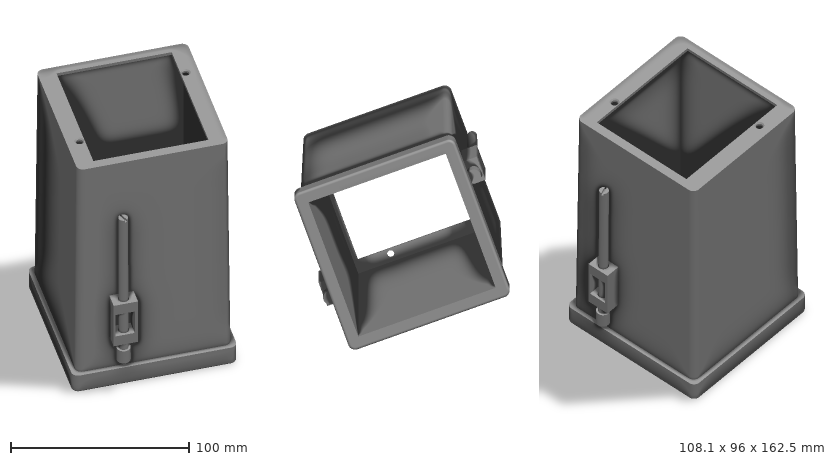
import cadquery as cq
import math

total_height = 162.5
bezel_width = 96.0
bezel_height = 12.5
bezel_corner_radius = 4.0
bezel_front_radius = 1.5
tube_top_width = 88.0
tube_draft = 0.5
tube_corner_radius = 4.0
tube_height = total_height - bezel_height
lean_slope = math.tan(math.radians(tube_draft))
tube_base_width = tube_top_width + 2 * tube_height * lean_slope

lip_thickness = 2.0
top_wall = 3.0
cavity_width = tube_top_width - 2 * top_wall
opening_width = 77.0
opening_depth = 67.0

lip_hole_diameter = 4.0
lip_hole_chamfer = 0.75
lip_hole_x = 20.0
lip_hole_y = 36.5
countersink_diameter = lip_hole_diameter + 2 * lip_hole_chamfer
countersink_angle = 90

screw_y = 19.0
screw_offset = 4.5
screw_diameter = 5.5
screw_bottom = 17.0
screw_top = 113.0
screw_length = screw_top - screw_bottom
slot_width = 1.2
slot_depth = 1.5
slot_angle = 20.0
foot_diameter = 8.0
foot_height = 9.0

block_reach = 54.06
block_y = 18.9
block_width = 14.2
block_bottom = bezel_height + 22.75
block_height = 30.25
block_top = block_bottom + block_height
block_bore_diameter = 6.2
window_y = 19.3
window_width = 11.2
window_height = 16.0


def wall_x(z):
    """Distance of the tube wall from the housing axis at height z."""
    return tube_base_width / 2 - (z - bezel_height) * lean_slope


def lean_on_wall(body):
    """Move a body built at the origin to the foot of the -X wall and lean it with the wall."""
    leaning = body.rotate((0, 0, 0), (0, 1, 0), tube_draft)
    return leaning.translate((-tube_base_width / 2, screw_y, bezel_height))


def make_housing():
    bezel = (
        cq.Workplane("XY")
        .rect(bezel_width, bezel_width)
        .extrude(bezel_height)
        .edges("|Z")
        .fillet(bezel_corner_radius)
        .faces("<Z")
        .edges()
        .fillet(bezel_front_radius)
    )
    tube = (
        cq.Workplane("XY")
        .workplane(offset=bezel_height)
        .rect(tube_base_width, tube_base_width)
        .extrude(tube_height, taper=tube_draft)
        .edges("not #Z")
        .fillet(tube_corner_radius)
    )
    cavity = (
        cq.Workplane("XY")
        .rect(cavity_width, cavity_width)
        .extrude(total_height - lip_thickness)
    )
    opening = cq.Workplane("XY").rect(opening_width, opening_depth).extrude(total_height)
    housing = bezel.union(tube).cut(cavity).cut(opening)
    return (
        housing.faces(">Z")
        .workplane(origin=(0, 0, total_height))
        .pushPoints([(-lip_hole_x, lip_hole_y), (lip_hole_x, -lip_hole_y)])
        .cskHole(lip_hole_diameter, countersink_diameter, countersink_angle, lip_thickness)
    )


def make_screw():
    """Plain rod with a screwdriver slot in its top end."""
    rod = cq.Workplane("XY").circle(screw_diameter / 2).extrude(screw_length)
    slot = (
        cq.Workplane("XY")
        .workplane(offset=screw_length - slot_depth)
        .rect(2 * screw_diameter, slot_width)
        .extrude(slot_depth)
    )
    screw = rod.cut(slot).rotate((0, 0, 0), (0, 0, 1), slot_angle)
    return lean_on_wall(screw.translate((-screw_offset, 0, screw_bottom)))


def make_foot():
    """Round foot under the screw."""
    foot = (
        cq.Workplane("XY")
        .workplane(offset=screw_bottom - foot_height)
        .center(-screw_offset, 0)
        .circle(foot_diameter / 2)
        .extrude(foot_height)
    )
    return lean_on_wall(foot)


def make_block():
    """Block on the wall with a window through to the wall and a clearance bore for the screw."""
    block = (
        cq.Workplane("XZ", origin=(0, block_y, 0))
        .moveTo(-block_reach, block_bottom)
        .lineTo(-wall_x(block_bottom), block_bottom)
        .lineTo(-wall_x(block_top), block_top)
        .lineTo(-block_reach, block_top)
        .close()
        .extrude(block_width / 2, both=True)
    )
    window = (
        cq.Workplane("XY")
        .box(block_reach, window_width, window_height)
        .translate((-block_reach, window_y, (block_bottom + block_top) / 2))
    )
    bore = (
        cq.Workplane("XY")
        .center(-screw_offset, 0)
        .circle(block_bore_diameter / 2)
        .extrude(tube_height)
    )
    return block.cut(window).cut(lean_on_wall(bore))


housing = make_housing()

clamp_bodies = []
for turn in (0, 180):
    for clamp_body in (make_screw(), make_foot(), make_block()):
        turned_body = clamp_body.rotate((0, 0, 0), (0, 0, 1), turn)
        clamp_bodies.append(turned_body.solids().val())

result = cq.Compound.makeCompound([housing.solids().val(), *clamp_bodies])